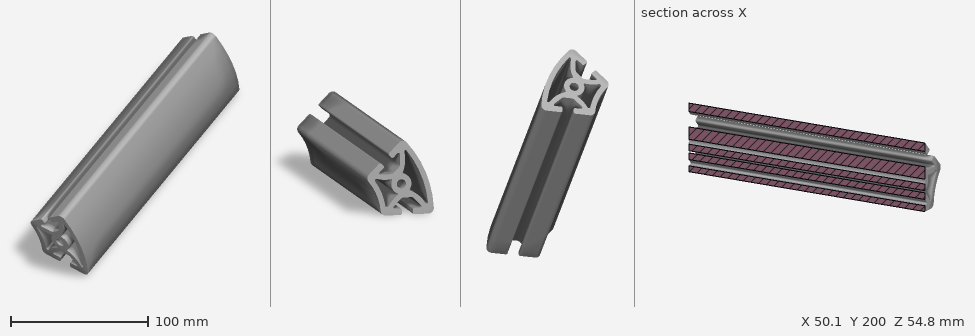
import cadquery as cq
import math

LENGTH = 200
SECTOR_ANGLE = 45
INNER_RADIUS = 40
OUTER_RADIUS = 80
WALL = 4
EDGE_RADIUS = 4
MIDDLE_RADIUS = (INNER_RADIUS + OUTER_RADIUS) / 2

SLOT_WIDTH = 8.5
LIP_THICKNESS = 4.8
LIP_RADIUS = 1.2
CAVITY_DEPTH = 12.8
CAVITY_HALF_WIDTH = 12
CAVITY_CORNER_RADIUS = 1.0
ROOF_RADIUS = 3.0

BORE_DIAMETER = 6.8
HUB_RADIUS = 7.5
WEB_RADIUS = 24
WEB_CENTER_OFFSET = 6.8
WEB_CENTER_HEIGHT = -4.5
OUTER_POCKET_TIP = 7.5
INNER_POCKET_TIP = 6.2
POCKET_CORNER_RADIUS = 0.7


def section():
    """XZ workplane at the back end, whose extrusions run along -Y."""
    return cq.Workplane("XZ", origin=(0, LENGTH, 0))


def cylinder(radius, x=0, z=0):
    return section().center(x, z).circle(radius).extrude(LENGTH)


def mirrored(body):
    """Reflect a body about the bisector plane of the sector."""
    return body.mirror("XY").rotate((0, 0, 0), (0, 1, 0), -SECTOR_ANGLE)


def ring_sector(inner, outer, face_offset):
    """Ring piece whose flat ends are inset from the two sector faces."""
    ring = cylinder(outer).cut(cylinder(inner))
    half_space = section().rect(4 * OUTER_RADIUS, 2 * OUTER_RADIUS).extrude(LENGTH)
    half_space = half_space.translate((0, 0, OUTER_RADIUS + face_offset))
    return ring.intersect(half_space).intersect(mirrored(half_space))


def slot():
    """T-slot with 45-degree flanks and a flat roof with rounded corners."""
    roof_half_width = CAVITY_HALF_WIDTH - (CAVITY_DEPTH - LIP_THICKNESS)
    cavity = (
        section()
        .center(MIDDLE_RADIUS, 0)
        .moveTo(-CAVITY_HALF_WIDTH, LIP_THICKNESS)
        .lineTo(-roof_half_width, CAVITY_DEPTH)
        .lineTo(roof_half_width, CAVITY_DEPTH)
        .lineTo(CAVITY_HALF_WIDTH, LIP_THICKNESS)
        .close()
        .extrude(LENGTH)
    )
    cavity = cavity.edges("|Y and (<X or >X)").fillet(CAVITY_CORNER_RADIUS)
    cavity = cavity.edges("|Y and >Z").fillet(ROOF_RADIUS)
    mouth = (
        section()
        .center(MIDDLE_RADIUS, LIP_THICKNESS / 2)
        .rect(SLOT_WIDTH, LIP_THICKNESS)
        .extrude(LENGTH)
    )
    cutter = cavity.union(mouth)
    for side in (-1, 1):
        for corner_z, inward in ((0, 1), (LIP_THICKNESS, -1)):
            center_x = MIDDLE_RADIUS + side * (SLOT_WIDTH / 2 + LIP_RADIUS)
            center_z = corner_z + inward * LIP_RADIUS
            strip = (
                section()
                .center(center_x - side * LIP_RADIUS / 2, center_z - inward * LIP_RADIUS / 2)
                .rect(LIP_RADIUS, LIP_RADIUS)
                .extrude(LENGTH)
            )
            cutter = cutter.union(strip.cut(cylinder(LIP_RADIUS, center_x, center_z)))
    return cutter


bisector = math.radians(SECTOR_ANGLE / 2)
hub_x = MIDDLE_RADIUS * math.cos(bisector)
hub_z = MIDDLE_RADIUS * math.sin(bisector)
web = cylinder(WEB_RADIUS, MIDDLE_RADIUS - WEB_CENTER_OFFSET, WEB_CENTER_HEIGHT).intersect(
    cylinder(WEB_RADIUS, MIDDLE_RADIUS + WEB_CENTER_OFFSET, WEB_CENTER_HEIGHT)
)
core = cylinder(HUB_RADIUS, hub_x, hub_z).union(web).union(mirrored(web))


def pocket(inner, outer, tip_offset):
    """Hollow between a curved outside wall and the hub and webs."""
    hollow = ring_sector(inner, outer, tip_offset).cut(core)
    return hollow.edges("|Y").fillet(POCKET_CORNER_RADIUS)


outer_pocket = pocket(MIDDLE_RADIUS, OUTER_RADIUS - WALL, OUTER_POCKET_TIP)
inner_pocket = pocket(INNER_RADIUS + WALL, MIDDLE_RADIUS, INNER_POCKET_TIP)

body = ring_sector(INNER_RADIUS, OUTER_RADIUS, 0).edges("|Y").fillet(EDGE_RADIUS)
slot_cutter = slot()
body = body.cut(slot_cutter).cut(mirrored(slot_cutter))
body = body.cut(outer_pocket).cut(inner_pocket)
result = body.cut(cylinder(BORE_DIAMETER / 2, hub_x, hub_z))